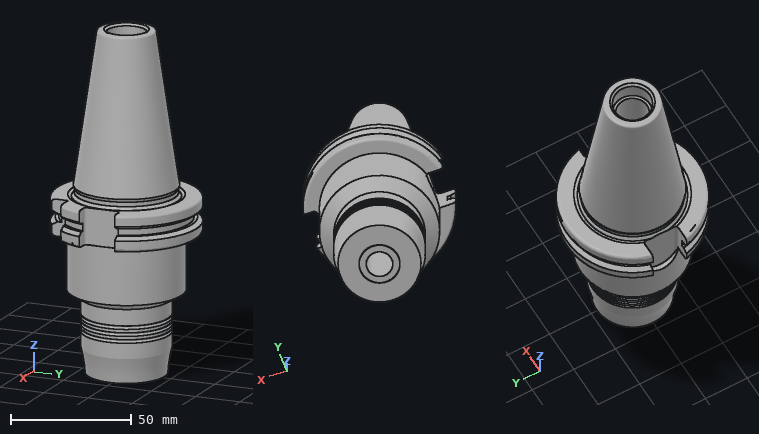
import cadquery as cq
import math

total_height = 148.9
lip_height = 0.5
nose_top = 11.6
shoulder_bottom = 33.0
flange_bottom = 61.3
flange_top = 77.5
neck_cone_top = 78.3
neck_top = 80.3
taper_bottom = 81.6

lip_radius = 8.5
nose_tip_radius = 17.3
nose_mid_radius = 17.9
nose_radius = 19.0
body_radius = 25.0
flange_diameter = 63.6
flange_radius = flange_diameter / 2
neck_radius = 21.7
taper_large_radius = 22.2
taper_ratio = 7 / 24
taper_end_fillet = 1.0
shoulder_angle = 30

recess_outer_radius = 24.4
recess_inner_radius = 23.0
recess_depth = 0.6

groove_floor_radius = 28.1
groove_wall_radius = 29.6
groove_floor_width = 3.3
groove_mouth_width = 6.3
flange_edge_fillet = 1.5
selection_margin = 0.1

ring_groove_radius = 0.7
ring_groove_pitch = 3.0
ring_groove_count = 3
lowest_ring_groove = 19.2

slot_width = 16.1
left_slot_floor = 22.6
right_slot_floor = body_radius
slot_fillet = 1.5
slot_clearance = 1.5

notch_inset = 18.5

through_radius = 5.5
thread_radius = 7.0
pilot_radius = 8.3
mouth_radius = 9.4
mouth_depth = 1.0
pilot_depth = 8.2
thread_bore_depth = 29.8
drill_point_angle = 118


def make_outer_body():
    """Solid of revolution: nose, shoulder, body, grooved flange, neck and taper."""
    shoulder_height = (body_radius - nose_radius) * math.tan(math.radians(shoulder_angle))
    shoulder_top = shoulder_bottom + shoulder_height
    groove_middle = (flange_bottom + flange_top) / 2
    half_floor = groove_floor_width / 2
    half_mouth = groove_mouth_width / 2
    taper_small_radius = taper_large_radius - (total_height - taper_bottom) * taper_ratio / 2
    profile = (
        cq.Workplane("XZ")
        .lineTo(lip_radius, 0)
        .lineTo(lip_radius, lip_height)
        .lineTo(nose_tip_radius, lip_height)
        .threePointArc((nose_mid_radius, (lip_height + nose_top) / 2), (nose_radius, nose_top))
        .lineTo(nose_radius, shoulder_bottom)
        .lineTo(body_radius, shoulder_top)
        .lineTo(body_radius, flange_bottom)
        .lineTo(flange_radius, flange_bottom)
        .lineTo(flange_radius, groove_middle - half_mouth)
        .lineTo(groove_wall_radius, groove_middle - half_floor)
        .lineTo(groove_floor_radius, groove_middle - half_floor)
        .lineTo(groove_floor_radius, groove_middle + half_floor)
        .lineTo(groove_wall_radius, groove_middle + half_floor)
        .lineTo(flange_radius, groove_middle + half_mouth)
        .lineTo(flange_radius, flange_top)
        .lineTo(recess_outer_radius, flange_top)
        .lineTo(recess_inner_radius, flange_top - recess_depth)
        .lineTo(neck_radius, neck_cone_top)
        .lineTo(neck_radius, neck_top)
        .lineTo(taper_large_radius, taper_bottom)
        .lineTo(taper_small_radius, total_height)
        .lineTo(0, total_height)
        .close()
    )
    body = profile.revolve(360, (0, 0, 0), (0, 1, 0))
    body = body.faces(">Z").edges().fillet(taper_end_fillet)
    for rim_height in (flange_bottom, flange_top):
        body = round_flange_rim(body, rim_height)
    return body


def round_flange_rim(body, height):
    """Fillet the widest circular edge at the given height."""
    reach = 2 * flange_radius
    thin_slab = cq.selectors.BoxSelector(
        (-reach, -reach, height - selection_margin),
        (reach, reach, height + selection_margin),
    )
    widest = cq.selectors.RadiusNthSelector(-1)
    return body.edges(thin_slab).edges(widest).fillet(flange_edge_fillet)


def make_ring_groove(height):
    """Torus that leaves a half-round groove on the nose."""
    torus = cq.Solid.makeTorus(nose_radius, ring_groove_radius, cq.Vector(0, 0, height))
    return cq.Workplane(obj=torus)


def make_slot(floor, side):
    """Drive slot cutter: filleted floor edges, and a lower end that is round about the flange's bottom."""
    depth = flange_radius + slot_clearance - floor
    low = flange_bottom - slot_width / 2
    height = neck_cone_top - low
    middle = side * (floor + depth / 2)
    channel = cq.Workplane("XY", origin=(middle, 0, low)).box(
        depth, slot_width, height, centered=(True, True, False)
    )
    floor_face = "<X" if side > 0 else ">X"
    channel = channel.faces(floor_face).edges("|Z").fillet(slot_fillet)
    outline = (
        cq.Workplane("YZ")
        .moveTo(-slot_width / 2, flange_bottom + height)
        .lineTo(-slot_width / 2, flange_bottom)
        .threePointArc((0, low), (slot_width / 2, flange_bottom))
        .lineTo(slot_width / 2, flange_bottom + height)
        .close()
        .extrude(2 * flange_radius, both=True)
    )
    return channel.intersect(outline)


def make_notch():
    """Square corner cutter for the orientation notch."""
    center = notch_inset + flange_radius / 2
    return cq.Workplane("XY", origin=(center, -center, flange_bottom)).box(
        flange_radius, flange_radius, flange_top - flange_bottom, centered=(True, True, False)
    )


def make_bore():
    """Stepped bore cutter: chamfered mouth, pilot, thread bore, drill point and through hole."""
    pilot_floor = total_height - pilot_depth
    thread_floor = total_height - thread_bore_depth
    point_height = (thread_radius - through_radius) / math.tan(math.radians(drill_point_angle / 2))
    return (
        cq.Workplane("XZ")
        .lineTo(through_radius, 0)
        .lineTo(through_radius, thread_floor - point_height)
        .lineTo(thread_radius, thread_floor)
        .lineTo(thread_radius, pilot_floor)
        .lineTo(pilot_radius, pilot_floor)
        .lineTo(pilot_radius, total_height - mouth_depth)
        .lineTo(mouth_radius, total_height)
        .lineTo(0, total_height)
        .close()
        .revolve(360, (0, 0, 0), (0, 1, 0))
    )


result = make_outer_body()
for index in range(ring_groove_count):
    result = result.cut(make_ring_groove(lowest_ring_groove + index * ring_groove_pitch))
result = result.cut(make_slot(left_slot_floor, -1))
result = result.cut(make_slot(right_slot_floor, 1))
result = result.cut(make_notch())
result = result.cut(make_bore())